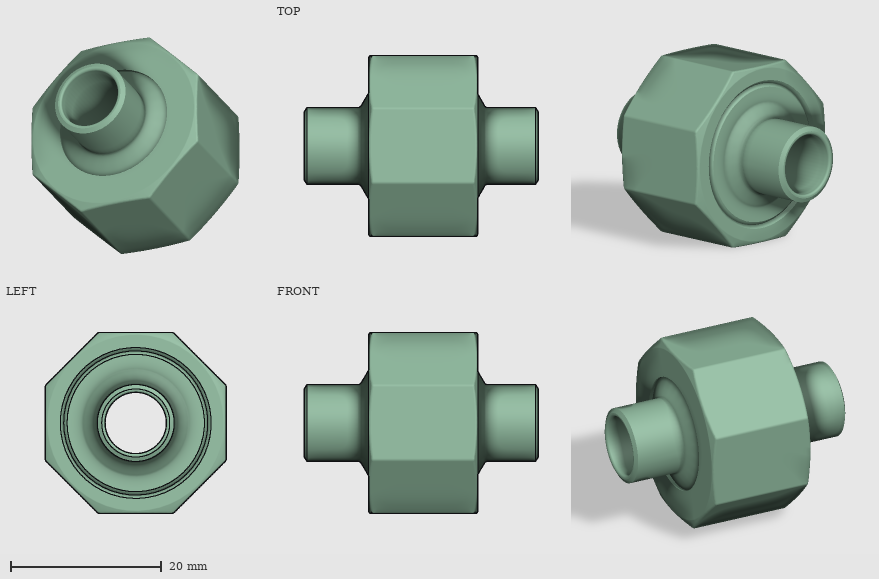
import cadquery as cq
import math


length = 31.0
nut_left = 8.52
nut_right = 23.0

bore_radius = 8.1 / 2
pipe_radius = 10.2 / 2
cone_slope = math.tan(math.radians(60))
pipe_chamfer_radial = 0.6
pipe_chamfer_axial = pipe_chamfer_radial / cone_slope
rim_fillet = 0.3

mouth_radius = 20.0 / 2
thread_face_radius = 18.2 / 2
thread_radius = (mouth_radius + thread_face_radius) / 2
groove_depth = mouth_radius - thread_radius

threaded_cone_start = 7.4
threaded_tail_fillet = 0.5

flanged_cone_start = 24.02
neck_radius = 15.5 / 2
flanged_tail_fillet = 0.3
flange_thickness = 3.0

flat_count = 8
across_flats = 24.0
lip_thickness = 3.0
nut_edge_fillet = 0.5
nut_end_fillet = 0.3
end_face_radius = 11.7
end_cone_angle = 20.0

flange_right = nut_right - lip_thickness
flange_left = flange_right - flange_thickness


def revolve_about_x(points):
    """Turn an (x, radius) outline about the X axis."""
    return cq.Workplane("XY").polyline(points).close().revolve(360, (0, 0, 0), (1, 0, 0))


def ring_edges(body, x, radius):
    """Select the circular edges at a place along X with a given radius."""
    tolerance = 0.003
    edges = [
        edge for edge in body.edges("%CIRCLE").vals()
        if abs(edge.Center().x - x) < tolerance and abs(edge.radius() - radius) < tolerance
    ]
    return body.newObject(edges)


def make_threaded_tail():
    cone_base_radius = pipe_radius + (nut_left - threaded_cone_start) * cone_slope
    tail = revolve_about_x([
        (0, bore_radius),
        (0, pipe_radius - pipe_chamfer_radial),
        (pipe_chamfer_axial, pipe_radius),
        (threaded_cone_start, pipe_radius),
        (nut_left, cone_base_radius),
        (nut_left, thread_face_radius),
        (nut_left + groove_depth, thread_radius),
        (flange_left, thread_radius),
        (flange_left, bore_radius),
    ])
    tail = ring_edges(tail, threaded_cone_start, pipe_radius).fillet(threaded_tail_fillet)
    tail = ring_edges(tail, nut_left, cone_base_radius).fillet(threaded_tail_fillet)
    return ring_edges(tail, 0, bore_radius).fillet(rim_fillet)


def make_flanged_tail():
    cone_end = flanged_cone_start - (neck_radius - pipe_radius) / cone_slope
    tail = revolve_about_x([
        (flange_left, bore_radius),
        (flange_left, thread_radius),
        (flange_right, thread_radius),
        (flange_right, neck_radius),
        (cone_end, neck_radius),
        (flanged_cone_start, pipe_radius),
        (length - pipe_chamfer_axial, pipe_radius),
        (length, pipe_radius - pipe_chamfer_radial),
        (length, bore_radius),
    ])
    tail = ring_edges(tail, flanged_cone_start, pipe_radius).fillet(flanged_tail_fillet)
    return ring_edges(tail, length, bore_radius).fillet(rim_fillet)


def make_nut():
    half_flat_angle = 180 / flat_count
    corner_radius = across_flats / 2 / math.cos(math.radians(half_flat_angle))
    blank = (
        cq.Workplane("YZ", origin=(nut_left, 0, 0))
        .transformed(rotate=(0, 0, half_flat_angle))
        .polygon(flat_count, 2 * corner_radius)
        .extrude(nut_right - nut_left)
    )
    blank = blank.edges("|X").fillet(nut_edge_fillet)

    cone_depth = (corner_radius - end_face_radius) * math.tan(math.radians(end_cone_angle))
    envelope = revolve_about_x([
        (nut_left, 0),
        (nut_left, end_face_radius),
        (nut_left + cone_depth, corner_radius),
        (nut_right - cone_depth, corner_radius),
        (nut_right, end_face_radius),
        (nut_right, 0),
    ])
    nut = blank.intersect(envelope)
    nut = nut.edges("not |X").fillet(nut_end_fillet)

    cavity = revolve_about_x([
        (nut_left, 0),
        (nut_left, mouth_radius),
        (nut_left + groove_depth, thread_radius),
        (flange_right, thread_radius),
        (flange_right, neck_radius),
        (nut_right, neck_radius),
        (nut_right, 0),
    ])
    return nut.cut(cavity)


threaded_tail = make_threaded_tail()
flanged_tail = make_flanged_tail()
nut = make_nut()

bodies = [threaded_tail, flanged_tail, nut]
result = cq.Compound.makeCompound([body.solids().val() for body in bodies])